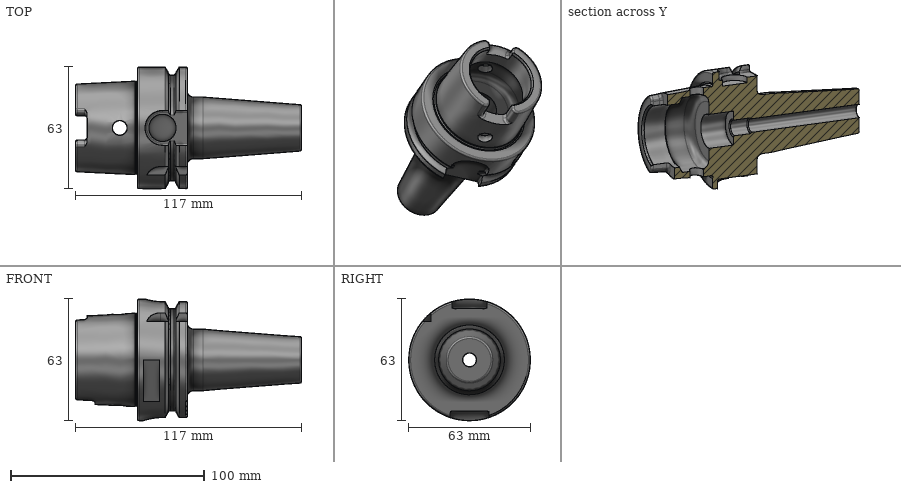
import cadquery as cq
import math


shank_length = 32.0
taper_ratio = 1 / 20
shank_tip_radius = 22.7
shank_tip_round = 1.0
undercut_width = 1.2
undercut_depth = 0.25
undercut_bottom_end_x = -0.3
face_relief_depth = 0.3
face_relief_inner_radius = 24.8
face_relief_radius = 25.6

flange_radius = 31.5
flange_width = 26.0
flange_round = 1.0
groove_centre_x = 18.0
groove_bottom_radius = 27.35
groove_corner_fillet = 1.0
groove_knee_radius = 28.5
groove_knee_half_width = 1.9
groove_edge_round = 0.3
groove_flank_angle = 30.0

nose_end_x = 85.0
neck_radius = 16.0
neck_fillet_length = 3.1
neck_fillet_start_radius = 18.06
nose_cone_start_x = 34.0
nose_cone_angle = 4.5
nose_round = 1.0

bore_radius = 17.0
mouth_chamfer = 0.6
lead_in = 0.3
lead_in_length = 0.5
clamp_lip_length = 13.0
clamp_shoulder_angle = 60.0
clamp_recess_radius = 20.0
bore_floor_x = -2.2
bore_floor_fillet = 4.3
coolant_bore_radius = 9.0
coolant_bore_end_x = 12.0
thread_bore_radius = 4.1
thread_bore_chamfer = 0.6
thread_bore_length = 10.0
through_hole_radius = 3.5

drive_slot_width = 12.5
drive_slot_depths = {1: 6.0, -1: 10.0}
drive_slot_floor_fillet = 1.5
drive_slot_outer_round = 2.6

radial_hole_x = -9.1
radial_hole_radius = 3.75

keyway_floor_height = 26.5
keyway_centre_x = 13.0
keyway_radii = {1: 9.0, -1: 10.0}
keyway_floor_fillet = 1.0
chip_pocket_radius = 7.05
chip_pocket_depth = 3.0

notch_wall = 20.0
notch_cutter_radius = 8.0
notch_cutter_x = 12.05

flat_start_x = 3.25
flat_length = 8.35
flat_half_angle = 21.65

clearance = 5.0


def turned_body():
    """Outside of the holder, revolved about X."""
    shank_base_radius = shank_tip_radius + (shank_length - undercut_width) * taper_ratio
    undercut_radius = shank_base_radius - undercut_depth
    flank_half_width = groove_knee_half_width + (flange_radius - groove_knee_radius) * math.tan(
        math.radians(groove_flank_angle)
    )
    bottom_half_width = groove_knee_half_width - groove_corner_fillet
    corner_top_radius = groove_bottom_radius + groove_corner_fillet
    nose_end_radius = neck_radius - (nose_end_x - nose_cone_start_x) * math.tan(
        math.radians(nose_cone_angle)
    )
    fillet_height = neck_fillet_start_radius - neck_radius
    fillet_radius = (neck_fillet_length**2 + fillet_height**2) / (2 * fillet_height)
    body = (
        cq.Workplane("XY")
        .moveTo(-shank_length, 0)
        .lineTo(-shank_length, shank_tip_radius)
        .lineTo(-undercut_width, shank_base_radius)
        .lineTo(-undercut_width + undercut_depth, undercut_radius)
        .lineTo(undercut_bottom_end_x, undercut_radius)
        .lineTo(face_relief_depth, face_relief_inner_radius)
        .lineTo(0, face_relief_radius)
        .lineTo(0, flange_radius)
        .lineTo(groove_centre_x - flank_half_width, flange_radius)
        .lineTo(groove_centre_x - groove_knee_half_width, groove_knee_radius)
        .lineTo(groove_centre_x - groove_knee_half_width, corner_top_radius)
        .radiusArc((groove_centre_x - bottom_half_width, groove_bottom_radius), -groove_corner_fillet)
        .lineTo(groove_centre_x + bottom_half_width, groove_bottom_radius)
        .radiusArc((groove_centre_x + groove_knee_half_width, corner_top_radius), -groove_corner_fillet)
        .lineTo(groove_centre_x + groove_knee_half_width, groove_knee_radius)
        .lineTo(groove_centre_x + flank_half_width, flange_radius)
        .lineTo(flange_width, flange_radius)
        .lineTo(flange_width, neck_fillet_start_radius)
        .radiusArc((flange_width + neck_fillet_length, neck_radius), -fillet_radius)
        .lineTo(nose_cone_start_x, neck_radius)
        .lineTo(nose_end_x, nose_end_radius)
        .lineTo(nose_end_x, 0)
        .close()
        .revolve(360, (0, 0, 0), (1, 0, 0))
    )
    for flank_x in (groove_centre_x - flank_half_width, groove_centre_x + flank_half_width):
        body = round_rim(body, flank_x, flange_radius, groove_edge_round)
    body = round_rim(body, 0, flange_radius, flange_round)
    body = round_rim(body, flange_width, flange_radius, flange_round)
    return round_rim(body, nose_end_x, nose_end_radius, nose_round)


def round_rim(body, x, radius, size):
    """Round the circular edge of the given radius that lies at x."""
    margin = 0.01
    reach = radius + margin
    rim = cq.selectors.BoxSelector(
        (x - margin, -reach, -reach), (x + margin, reach, reach), boundingbox=True
    )
    inner_reach = radius - margin
    inner = cq.selectors.BoxSelector(
        (x - margin, -inner_reach, -inner_reach), (x + margin, inner_reach, inner_reach), boundingbox=True
    )
    return body.edges(rim - inner).fillet(size)


def hollow():
    """Clamping bore, coolant bore and through hole as one revolved solid."""
    tip_x = -shank_length
    lip_x = tip_x + clamp_lip_length
    shoulder_length = (clamp_recess_radius - bore_radius) / math.tan(math.radians(clamp_shoulder_angle))
    thread_bore_end_x = coolant_bore_end_x + thread_bore_length
    fillet_centre = (bore_floor_x - bore_floor_fillet, clamp_recess_radius - bore_floor_fillet)
    fillet_reach = bore_floor_fillet * math.sqrt(0.5)
    return (
        cq.Workplane("XY")
        .moveTo(tip_x, 0)
        .lineTo(tip_x, bore_radius + lead_in + mouth_chamfer)
        .lineTo(tip_x + mouth_chamfer, bore_radius + lead_in)
        .lineTo(tip_x + mouth_chamfer + lead_in_length, bore_radius)
        .lineTo(lip_x, bore_radius)
        .lineTo(lip_x + shoulder_length, clamp_recess_radius)
        .lineTo(fillet_centre[0], clamp_recess_radius)
        .threePointArc(
            (fillet_centre[0] + fillet_reach, fillet_centre[1] + fillet_reach),
            (bore_floor_x, fillet_centre[1]),
        )
        .lineTo(bore_floor_x, coolant_bore_radius)
        .lineTo(coolant_bore_end_x, coolant_bore_radius)
        .lineTo(coolant_bore_end_x, thread_bore_radius + thread_bore_chamfer)
        .lineTo(coolant_bore_end_x + thread_bore_chamfer, thread_bore_radius)
        .lineTo(thread_bore_end_x, thread_bore_radius)
        .lineTo(thread_bore_end_x + thread_bore_radius - through_hole_radius, through_hole_radius)
        .lineTo(nose_end_x, through_hole_radius)
        .lineTo(nose_end_x, 0)
        .close()
        .revolve(360, (0, 0, 0), (1, 0, 0))
    )


def cut_drive_slots(body):
    """Slot the shank tip from +Z and -Z, then round the slot edges and the tip rim."""
    half_width = drive_slot_width / 2
    height = shank_tip_radius + clearance
    for side, depth in drive_slot_depths.items():
        slot = (
            cq.Workplane("XY")
            .box(depth, drive_slot_width, height, centered=(False, True, False))
            .translate((-shank_length, 0, 0 if side > 0 else -height))
        )
        body = body.cut(slot)
    outer_edges = []
    floor_corners = []
    for wall_y in (-half_width, half_width):
        for side, depth in drive_slot_depths.items():
            floor_x = depth - shank_length
            outer_edges.append(
                cq.selectors.NearestToPointSelector((floor_x - depth / 2, wall_y, side * shank_tip_radius))
            )
            floor_corners.append(
                cq.selectors.NearestToPointSelector((floor_x, wall_y, side * shank_tip_radius / 2))
            )
    body = fillet_edges(body, outer_edges, drive_slot_outer_round)
    body = fillet_edges(body, floor_corners, drive_slot_floor_fillet)
    return body.faces("<X").edges().fillet(shank_tip_round)


def fillet_edges(body, selectors, radius):
    """Round the edges that the selectors pick, all in one step."""
    picked = [body.edges(selector).val() for selector in selectors]
    return body.newObject(picked).fillet(radius)


def keyway(side):
    """Cutter for the round-ended keyway that runs out through the +X side of the flange."""
    radius = keyway_radii[side]
    run_out = flange_width + clearance - keyway_centre_x
    height = flange_radius + clearance - keyway_floor_height
    cutter = (
        cq.Workplane("XY", origin=(keyway_centre_x, 0, keyway_floor_height))
        .moveTo(run_out, -radius)
        .lineTo(0, -radius)
        .threePointArc((-radius, 0), (0, radius))
        .lineTo(run_out, radius)
        .close()
        .extrude(height)
        .faces("<Z")
        .edges("not >X")
        .fillet(keyway_floor_fillet)
    )
    if side < 0:
        cutter = cutter.mirror("XY")
    return cutter


def chip_pocket():
    """Round blind pocket in the floor of the +Z keyway."""
    return (
        cq.Workplane("XY", origin=(keyway_centre_x, 0, keyway_floor_height - chip_pocket_depth))
        .circle(chip_pocket_radius)
        .extrude(chip_pocket_depth + clearance)
    )


def orientation_notch():
    """Corner notch with a milled, rounded run-in."""
    outer = flange_radius + clearance
    end_x = flange_width + clearance
    arc_end_y = -notch_wall - notch_cutter_radius
    arc_reach = notch_cutter_radius * math.sqrt(0.5)
    return (
        cq.Workplane("XY", origin=(0, 0, notch_wall))
        .moveTo(end_x, -notch_wall)
        .lineTo(notch_cutter_x, -notch_wall)
        .threePointArc(
            (notch_cutter_x - arc_reach, arc_end_y + arc_reach),
            (notch_cutter_x - notch_cutter_radius, arc_end_y),
        )
        .lineTo(notch_cutter_x - notch_cutter_radius, -outer)
        .lineTo(end_x, -outer)
        .close()
        .extrude(outer - notch_wall)
    )


def rim_flat():
    """Flat milled on the rim as a chord that starts at Z = 0 on the -Y side and runs downwards."""
    chord_distance = flange_radius * math.cos(math.radians(flat_half_angle))
    return (
        cq.Workplane("XY")
        .box(flat_length, clearance, 2 * flange_radius, centered=(False, False, True))
        .translate((flat_start_x, -chord_distance - clearance, 0))
        .rotate((0, 0, 0), (1, 0, 0), flat_half_angle)
    )


def radial_hole():
    """Hole along Z through both walls of the shank."""
    reach = shank_tip_radius + clearance
    return (
        cq.Workplane("XY", origin=(radial_hole_x, 0, -reach))
        .circle(radial_hole_radius)
        .extrude(2 * reach)
    )


result = cut_drive_slots(turned_body())
result = result.cut(hollow())
for keyway_side in keyway_radii:
    result = result.cut(keyway(keyway_side))
result = result.cut(chip_pocket())
result = result.cut(orientation_notch())
result = result.cut(rim_flat())
result = result.cut(radial_hole())